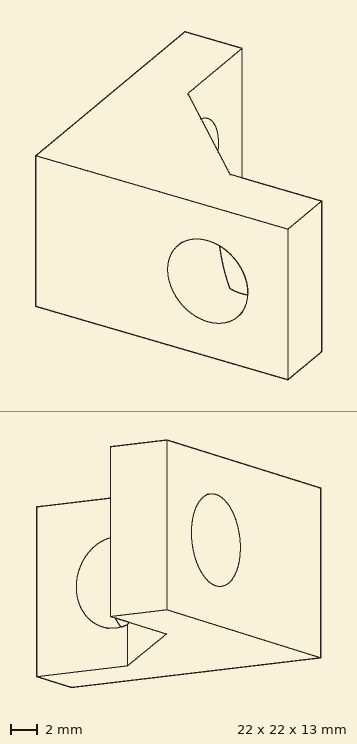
import cadquery as cq

leg_length = 22.0
height = 13.0
leg_thickness = 5.0
gusset_reach = 14.0
hole_diameter = 7.0
hole_offset = 15.0

hole_height = height / 2


def bracket_body():
    """L-shaped bracket with a diagonal gusset filling the inner corner."""
    outline = [
        (0, 0),
        (leg_length, 0),
        (leg_length, leg_thickness),
        (gusset_reach, leg_thickness),
        (leg_thickness, gusset_reach),
        (leg_thickness, leg_length),
        (0, leg_length),
    ]
    return cq.Workplane("XY").polyline(outline).close().extrude(height)


def hole_cutter(start, direction):
    """Cylinder that passes through one leg and the gusset behind it."""
    return cq.Workplane(
        cq.Solid.makeCylinder(
            hole_diameter / 2, leg_length, cq.Vector(*start), cq.Vector(*direction)
        )
    )


hole_through_x_leg = hole_cutter((hole_offset, 0, hole_height), (0, 1, 0))
hole_through_y_leg = hole_cutter((0, hole_offset, hole_height), (1, 0, 0))

result = bracket_body().cut(hole_through_x_leg).cut(hole_through_y_leg)